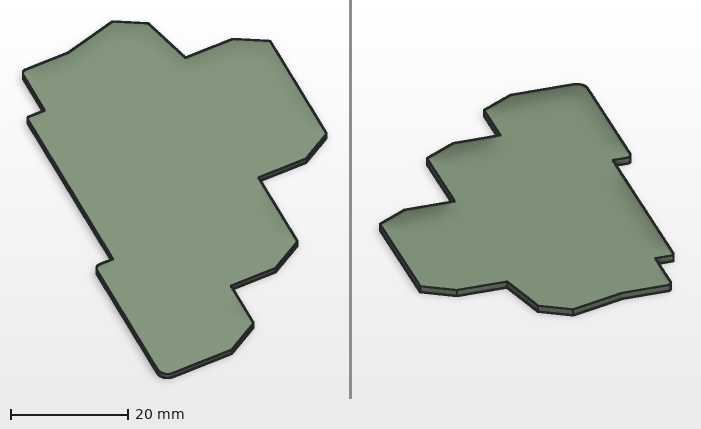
import math

import cadquery as cq

length = 71.4
width = 48.0
thickness = 1.2

upper_step_y = 33.45
lower_step_y = 19.1

top_block_left_x = 12.4
top_block_right_x = 40.7
middle_block_right_x = 59.2

corner_slope = math.tan(math.radians(60))
top_corner_run = 3.2
step_corner_run = 3.4
nose_corner_run = 3.05

flank_slope = math.tan(math.radians(15))
nose_top_y = upper_step_y - (top_block_left_x - nose_corner_run) * flank_slope
nose_tip_y = nose_top_y - nose_corner_run * corner_slope

left_wall_x = 2.6
left_foot_y = 6.95
middle_foot_x = 11.8
middle_foot_y = 3.5
right_foot_x = 45.2
left_wall_top_y = nose_tip_y - left_wall_x / flank_slope

left_foot_radius = 0.9
middle_foot_radius = 0.5
right_foot_radius = 1.0
right_end_radius = 2.0


def sloped_corner(wall_x, top_y, run, side):
    """Top and bottom points of a sloped corner; side is +1 for a right wall, -1 for a left wall."""
    return [(wall_x - side * run, top_y), (wall_x, top_y - run * corner_slope)]


def make_plate():
    top_left_corner = sloped_corner(top_block_left_x, width, top_corner_run, -1)
    outline = [
        (left_wall_x, left_foot_y),
        (left_wall_x, left_wall_top_y),
        (0, nose_tip_y),
        (nose_corner_run, nose_top_y),
        (top_block_left_x, upper_step_y),
        *reversed(top_left_corner),
        *sloped_corner(top_block_right_x, width, top_corner_run, 1),
        (top_block_right_x, upper_step_y),
        *sloped_corner(middle_block_right_x, upper_step_y, step_corner_run, 1),
        (middle_block_right_x, lower_step_y),
        *sloped_corner(length, lower_step_y, step_corner_run, 1),
        (length, 0),
        (right_foot_x, 0),
        (right_foot_x, middle_foot_y),
        (middle_foot_x, middle_foot_y),
        (middle_foot_x, left_foot_y),
    ]
    return cq.Workplane("XY").polyline(outline).close().extrude(thickness)


def round_corner(plate, x, y, radius):
    """Round the upright edge that stands at (x, y)."""
    edge_point = (x, y, thickness / 2)
    return plate.edges(cq.selectors.NearestToPointSelector(edge_point)).fillet(radius)


result = make_plate()
result = round_corner(result, left_wall_x, left_foot_y, left_foot_radius)
result = round_corner(result, middle_foot_x, middle_foot_y, middle_foot_radius)
result = round_corner(result, right_foot_x, 0, right_foot_radius)
result = round_corner(result, length, 0, right_end_radius)